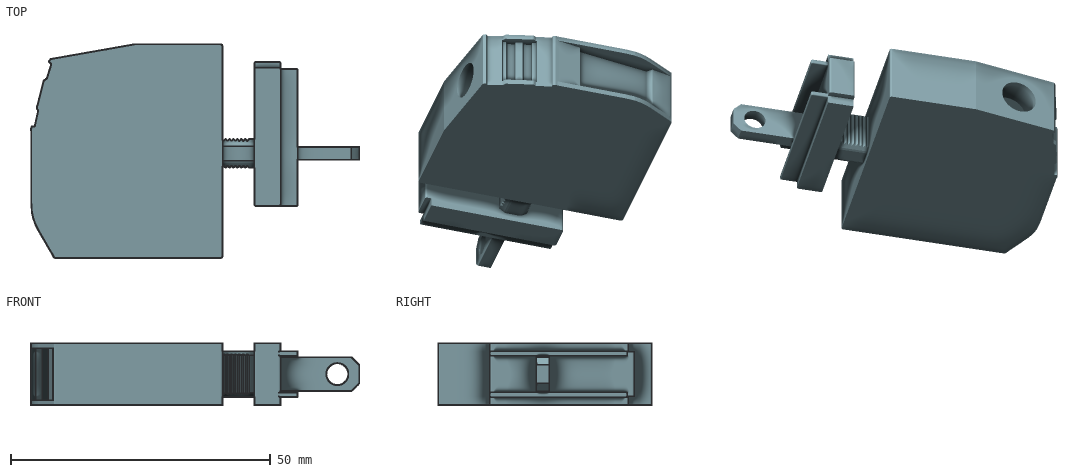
import cadquery as cq
import math


TOTAL_LENGTH = 63.38
THICKNESS = 12.0
HOUSING_LENGTH = 37.0
HOUSING_HEIGHT = 41.25
EDGE_RADIUS = 0.4

LOWER_SLOPE_ANGLE = math.radians(30)
LOWER_ROUND_RADIUS = 10.0
LOWER_SLOPE_FOOT_X = 4.55
LOWER_ROUND_TOP_Y = 8.83
LOWER_BEVEL_TOP_Y = 10.67
RIM_X = 0.08
RIM_TOP_Y = 24.46
HOUSING_LIP_Y = 24.86
HOUSING_LIP_CHAMFER = 0.2
LEDGE_Y = 25.4
LEDGE_X = 0.75
GRIP_BOTTOM = (1.43, 28.5)
GRIP_BOTTOM_NOSE = (1.19, 28.85)
GRIP_BOTTOM_ROUND_END = (1.27, 29.4)
GRIP_TOP = (2.48, 34.2)
UPPER_BAND_BOTTOM = (3.1, 34.65)
UPPER_BAND_TOP = (3.95, 37.4)
NOSE_LOWER = (3.46, 37.87)
NOSE_UPPER = (3.83, 38.4)
UPPER_SLOPE_ANGLE = math.radians(10)

RECESS_WIDTH = 10.0
OUTSIDE_X = -1.0
LABEL_FLOOR_TOP_Y = 24.1
LABEL_UPPER_FLOOR_BOTTOM_X = 0.93
LABEL_STEP_Y = 19.63
LABEL_DEEP_FLOOR_TOP_X = 2.2
LABEL_RAMP_INNER = (4.33, 5.18)
LABEL_RAMP_OUTER = (3.4, 4.32)
LABEL_END = (4.33, 0.45)

GROOVE_PITCH = 3.1
GROOVE_COUNT = 2
GROOVE_FIRST_Y = 28.92
GROOVE_FLOOR_HEIGHT = 1.33
GROOVE_FLANK = 0.45
GROOVE_DEPTH = 0.65
RIB_SLOPE = math.tan(math.radians(14))
RIB_LINE_X = 2.24
GRIP_RECESS_BOTTOM_Y = 28.2
GRIP_RECESS_TOP_Y = 34.77
GRIP_WALL_SLANT = 0.35
GRIP_WALL_OUTER_X = 3.13

SCREW_HOLE_DIAMETER = 7.0
SCREW_HOLE_X = 11.1
SCREW_HOLE_DEPTH = 5.0

AXIS_Y = 20.2
PLATE_X = 43.15
NECK_HALF_WIDTH = 2.8
NECK_HALF_HEIGHT = 4.45
NECK_FLAT_HALF_WIDTH = 1.4
NECK_SHOULDER = (1.8, 4.3)
NECK_SIDE_HALF_HEIGHT = 3.6
TOOTH_PITCH = 0.76
TOOTH_COUNT = 7
TOOTH_DEPTH = 0.4
COLLAR_LENGTH = 1.0

PLATE_THICKNESS = 5.05
PLATE_MIDDLE_X = PLATE_X + PLATE_THICKNESS / 2
PLATE_BOTTOM_Y = 10.0
PLATE_TOP_Y = 36.7
PLATE_LIP_TOP_Y = 37.86
PLATE_LIP_WIDTH = 8.6

FLANGE_END_X = 51.5
FLANGE_TOP_Y = 36.5
FLANGE_OUTER_Z = 4.45
FLANGE_THICKNESS = 0.95
FLANGE_CORNER_RADIUS = 0.3
FLANGE_EDGE_RADIUS = 0.2

TAB_WIDTH = 6.6
TAB_THICKNESS = 2.5
TAB_CHAMFER = 1.5
TAB_HOLE_DIAMETER = 4.2
TAB_HOLE_X = 59.15


def symmetric_prism(profile, width):
    """Extrude a closed XY profile equally to both sides of Z = 0."""
    return profile.extrude(width / 2, both=True)


def block(x_range, y_range, width):
    """Box spanning the given X and Y ranges, centred on Z = 0."""
    length = x_range[1] - x_range[0]
    height = y_range[1] - y_range[0]
    box = cq.Workplane("XY").box(length, height, width, centered=(False, False, True))
    return box.translate((x_range[0], y_range[0], 0))


def upper_slope_y(x):
    """Y of the upper slope at the given X."""
    return NOSE_UPPER[1] + (x - NOSE_UPPER[0]) * math.tan(UPPER_SLOPE_ANGLE)


def housing_body():
    """Housing block with its full left-end outline, before recesses and hole."""
    slope_cos = math.cos(LOWER_SLOPE_ANGLE)
    slope_sin = math.sin(LOWER_SLOPE_ANGLE)
    round_bottom_x = RIM_X + LOWER_ROUND_RADIUS * (1 - slope_cos)
    round_bottom_y = (LOWER_SLOPE_FOOT_X - round_bottom_x) * slope_cos / slope_sin
    round_center_x = RIM_X + LOWER_ROUND_RADIUS
    round_center_y = round_bottom_y + LOWER_ROUND_RADIUS * slope_sin

    def round_point(y):
        reach = math.sqrt(LOWER_ROUND_RADIUS**2 - (round_center_y - y) ** 2)
        return (round_center_x - reach, y)

    round_middle = round_point((round_bottom_y + LOWER_ROUND_TOP_Y) / 2)
    round_top = round_point(LOWER_ROUND_TOP_Y)
    slope_rise = HOUSING_HEIGHT - NOSE_UPPER[1]
    slope_top_x = NOSE_UPPER[0] + slope_rise / math.tan(UPPER_SLOPE_ANGLE)

    outline = (
        cq.Workplane("XY")
        .moveTo(HOUSING_LENGTH, 0)
        .lineTo(LOWER_SLOPE_FOOT_X, 0)
        .lineTo(round_bottom_x, round_bottom_y)
        .threePointArc(round_middle, round_top)
        .lineTo(RIM_X, LOWER_BEVEL_TOP_Y)
        .lineTo(RIM_X, RIM_TOP_Y)
        .lineTo(0, HOUSING_LIP_Y)
        .lineTo(HOUSING_LIP_CHAMFER, LEDGE_Y)
        .lineTo(LEDGE_X, LEDGE_Y)
        .lineTo(*GRIP_BOTTOM)
        .threePointArc(GRIP_BOTTOM_NOSE, GRIP_BOTTOM_ROUND_END)
        .lineTo(*GRIP_TOP)
        .lineTo(*UPPER_BAND_BOTTOM)
        .lineTo(*UPPER_BAND_TOP)
        .lineTo(*NOSE_LOWER)
        .lineTo(*NOSE_UPPER)
        .lineTo(slope_top_x, HOUSING_HEIGHT)
        .lineTo(HOUSING_LENGTH, HOUSING_HEIGHT)
        .close()
    )
    body = symmetric_prism(outline, THICKNESS)
    rounded_corners = (
        (HOUSING_LENGTH, 0),
        (HOUSING_LENGTH, HOUSING_HEIGHT),
        (LOWER_SLOPE_FOOT_X, 0),
    )
    for x, y in rounded_corners:
        corner = cq.selectors.NearestToPointSelector((x, y, 0))
        body = body.edges("|Z").edges(corner).fillet(EDGE_RADIUS)
    return body


def label_recess():
    """Stepped recess on the lower part of the left end."""
    lip_slant = RIM_X / (HOUSING_LIP_Y - RIM_TOP_Y)
    label_floor_top_x = RIM_X + lip_slant * (RIM_TOP_Y - LABEL_FLOOR_TOP_Y)
    profile = cq.Workplane("XY").polyline([
        (OUTSIDE_X, RIM_TOP_Y),
        (RIM_X, RIM_TOP_Y),
        (label_floor_top_x, LABEL_FLOOR_TOP_Y),
        (LABEL_UPPER_FLOOR_BOTTOM_X, LABEL_STEP_Y),
        (LABEL_DEEP_FLOOR_TOP_X, LABEL_STEP_Y),
        LABEL_RAMP_INNER,
        LABEL_RAMP_OUTER,
        LABEL_END,
        (OUTSIDE_X, LABEL_END[1]),
    ]).close()
    return symmetric_prism(profile, RECESS_WIDTH)


def rib_top_x(y):
    """X of the sloping line through the rib tops."""
    return RIB_LINE_X + (y - GROOVE_FIRST_Y) * RIB_SLOPE


def grip_recess():
    """Recess on the upper part of the left end, with grooves across its floor."""
    wall_bottom_y = GRIP_RECESS_TOP_Y - GRIP_WALL_SLANT
    points = [
        (OUTSIDE_X, GRIP_RECESS_BOTTOM_Y),
        (rib_top_x(GRIP_RECESS_BOTTOM_Y), GRIP_RECESS_BOTTOM_Y),
    ]
    for index in range(GROOVE_COUNT):
        groove_bottom_y = GROOVE_FIRST_Y + index * GROOVE_PITCH
        flank_y = groove_bottom_y + GROOVE_FLOOR_HEIGHT
        groove_top_y = flank_y + GROOVE_FLANK
        points.append((rib_top_x(groove_bottom_y), groove_bottom_y))
        points.append((rib_top_x(groove_bottom_y) + GROOVE_DEPTH, groove_bottom_y))
        points.append((rib_top_x(flank_y) + GROOVE_DEPTH, flank_y))
        points.append((rib_top_x(groove_top_y), groove_top_y))
    points.append((rib_top_x(wall_bottom_y), wall_bottom_y))
    points.append((GRIP_WALL_OUTER_X, GRIP_RECESS_TOP_Y))
    points.append((OUTSIDE_X, GRIP_RECESS_TOP_Y))
    profile = cq.Workplane("XY").polyline(points).close()
    return symmetric_prism(profile, RECESS_WIDTH)


def screw_hole():
    """Blind hole square to the upper slope."""
    inward = cq.Vector(math.sin(UPPER_SLOPE_ANGLE), -math.cos(UPPER_SLOPE_ANGLE), 0)
    mouth = cq.Vector(SCREW_HOLE_X, upper_slope_y(SCREW_HOLE_X), 0)
    return cq.Solid.makeCylinder(SCREW_HOLE_DIAMETER / 2, SCREW_HOLE_DEPTH, mouth, inward)


def neck():
    """Bar between housing and plate, toothed on both Y sides."""
    quarter = [
        (NECK_FLAT_HALF_WIDTH, NECK_HALF_HEIGHT),
        NECK_SHOULDER,
        (NECK_HALF_WIDTH, NECK_SIDE_HALF_HEIGHT),
    ]
    right_half = quarter + [(y, -z) for y, z in reversed(quarter)]
    section = right_half + [(-y, -z) for y, z in right_half]
    bar = (
        cq.Workplane("YZ", origin=(HOUSING_LENGTH, AXIS_Y, 0))
        .polyline(section)
        .close()
        .extrude(PLATE_X - HOUSING_LENGTH)
    )
    last_valley_end = PLATE_X - COLLAR_LENGTH
    for index in range(TOOTH_COUNT):
        valley_end = last_valley_end - index * TOOTH_PITCH
        for side in (-1, 1):
            crest_y = AXIS_Y + side * NECK_HALF_WIDTH
            groove = cq.Workplane("XY").polyline([
                (valley_end - TOOTH_PITCH, crest_y),
                (valley_end - TOOTH_PITCH / 2, crest_y - side * TOOTH_DEPTH),
                (valley_end, crest_y),
            ]).close()
            bar = bar.cut(symmetric_prism(groove, THICKNESS))
    return bar


def plate():
    """Mounting plate with a narrower lip along its upper end."""
    x_range = (PLATE_X, PLATE_X + PLATE_THICKNESS)
    main = block(x_range, (PLATE_BOTTOM_Y, PLATE_TOP_Y), THICKNESS)
    main = main.edges("|Z and <Y").fillet(EDGE_RADIUS)
    lip = block(x_range, (PLATE_TOP_Y, PLATE_LIP_TOP_Y), PLATE_LIP_WIDTH)
    lip = lip.edges("|Z and >Y").fillet(EDGE_RADIUS)
    return main.union(lip)


def flange(side):
    """Thin rounded flange behind the plate, above (1) or below (-1) the tab."""
    start_x = PLATE_MIDDLE_X
    sheet = block((start_x, FLANGE_END_X), (PLATE_BOTTOM_Y, FLANGE_TOP_Y), FLANGE_THICKNESS)
    sheet = sheet.edges("|Z and >X").fillet(FLANGE_CORNER_RADIUS)
    sheet = sheet.faces("|Z").edges().fillet(FLANGE_EDGE_RADIUS)
    return sheet.translate((0, 0, side * (FLANGE_OUTER_Z - FLANGE_THICKNESS / 2)))


def tab():
    """Flat tab with a chamfered tip and a cross hole along Y."""
    half_thickness = TAB_THICKNESS / 2
    y_range = (AXIS_Y - half_thickness, AXIS_Y + half_thickness)
    start_x = PLATE_MIDDLE_X
    strip = block((start_x, TOTAL_LENGTH), y_range, TAB_WIDTH)
    strip = strip.edges("|Y and >X").chamfer(TAB_CHAMFER)
    hole = cq.Solid.makeCylinder(
        TAB_HOLE_DIAMETER / 2,
        TAB_THICKNESS,
        cq.Vector(TAB_HOLE_X, y_range[0], 0),
        cq.Vector(0, 1, 0),
    )
    return strip.cut(hole)


housing = housing_body().cut(label_recess()).cut(grip_recess()).cut(screw_hole())
result = housing.union(neck()).union(plate()).union(tab())
for side in (-1, 1):
    result = result.union(flange(side))